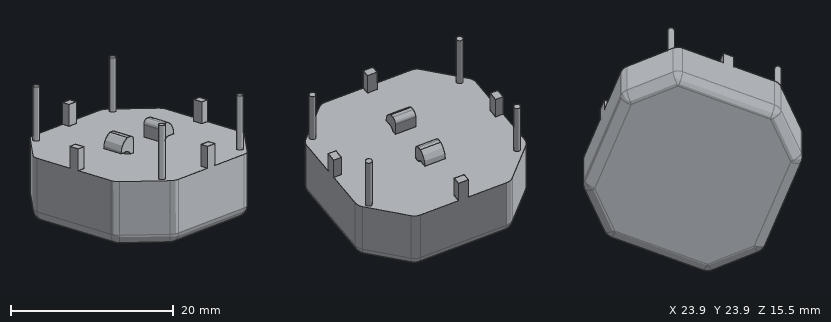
import cadquery as cq
import math

width = 23.9
total_height = 15.47
housing_height = 8.42
corner_cut = 5.25
side_edge_radius = 1.5
bottom_edge_radius = 1.4

post_width = 1.39
post_inner_radius = 10.88
post_height = 2.85

pin_diameter = 0.85
pin_height = total_height - housing_height
left_pin_x = -10.6
left_pin_y = 7.05
right_pin_x = 10.23
right_pin_y = 7.2

hook_width = 2.87
hook_height = 2.3
hook_inner_y = 2.53
hook_tip_y = 4.85
hook_back_radius = 0.67
hook_nose_radius = 2.0
undercut_height = 0.48
stem_axis_y = 1.53
stem_foot_radius = 2.2
stem_flare_radius = 0.6


def make_housing():
    block = cq.Workplane("XY").rect(width, width).extrude(housing_height)
    octagon = block.edges("|Z").chamfer(corner_cut)
    rounded = octagon.edges("|Z").fillet(side_edge_radius)
    return rounded.faces("<Z").edges().fillet(bottom_edge_radius)


def make_post():
    """Post on the +X side: outer face flush with the housing, inner face on a circle about Z."""
    base = cq.Workplane("XY", origin=(0, 0, housing_height))
    bar = base.center(width / 4, 0).rect(width / 2, post_width).extrude(post_height)
    return bar.cut(base.circle(post_inner_radius).extrude(post_height))


def make_pins():
    centers = []
    for side in (-1, 1):
        centers.append((left_pin_x, side * left_pin_y))
        centers.append((right_pin_x, side * right_pin_y))
    return (
        cq.Workplane("XY", origin=(0, 0, housing_height))
        .pushPoints(centers)
        .circle(pin_diameter / 2)
        .extrude(pin_height)
    )


def make_hook():
    """Hook on the +Y side, standing on the top face with its tip pointing outward."""
    nose_center_y = hook_tip_y - hook_nose_radius
    nose_rise = hook_height - undercut_height
    nose_top_y = nose_center_y + math.sqrt(hook_nose_radius**2 - nose_rise**2)
    blank = (
        cq.Workplane("YZ", origin=(-hook_width / 2, 0, housing_height))
        .moveTo(hook_inner_y, 0)
        .lineTo(hook_inner_y, hook_height - hook_back_radius)
        .radiusArc((hook_inner_y + hook_back_radius, hook_height), hook_back_radius)
        .lineTo(nose_top_y, hook_height)
        .radiusArc((hook_tip_y, undercut_height), hook_nose_radius)
        .lineTo(hook_tip_y, 0)
        .close()
        .extrude(hook_width)
    )
    flare_drop = stem_flare_radius - undercut_height
    stem_top_radius = stem_foot_radius + math.sqrt(stem_flare_radius**2 - flare_drop**2)
    clear_radius = 2 * stem_foot_radius
    undercut = (
        cq.Workplane("XZ", origin=(0, stem_axis_y, housing_height))
        .moveTo(stem_foot_radius, 0)
        .radiusArc((stem_top_radius, undercut_height), stem_flare_radius)
        .lineTo(clear_radius, undercut_height)
        .lineTo(clear_radius, 0)
        .close()
        .revolve(360, (0, 0), (0, 1))
    )
    return blank.cut(undercut)


result = make_housing().union(make_pins())
post = make_post()
for quarter_turn in range(4):
    result = result.union(post.rotate((0, 0, 0), (0, 0, 1), 90 * quarter_turn))
hook = make_hook()
result = result.union(hook).union(hook.mirror("XZ"))